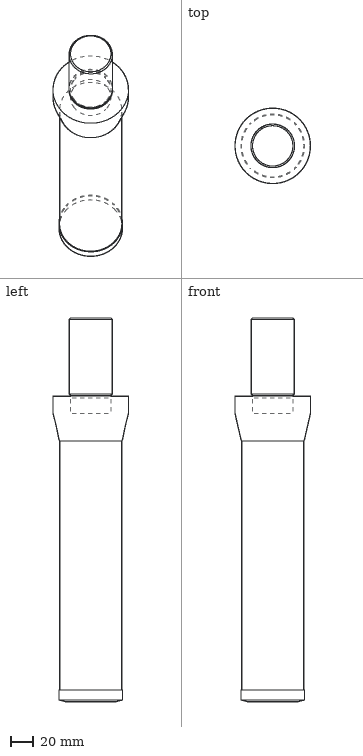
import cadquery as cq

total_height = 345.5

tube_radius = 28.0
collar_radius = 68.0 / 2
collar_top = 275.0
collar_height = 15.5
collar_bottom = collar_top - collar_height
taper_foot_radius = 28.5
taper_foot = 236.0
taper_foot_drop = 1.5
base_radius = 28.5
base_height = 10.7
base_edge_height = 1.7
base_face_radius = 22.8

rod_radius = 39.0 / 2
rod_chamfer = 1.5
neck_radius = rod_radius - rod_chamfer
neck_top = collar_top + 0.7

bore_depth = 15.5
bore_floor = collar_top - bore_depth
bore_mouth_radius = 19.7
bore_mouth_depth = bore_mouth_radius - neck_radius


def revolve_profile(points):
    """Revolve a closed (radius, height) outline about the Z axis."""
    return cq.Workplane("XZ").polyline(points).close().revolve(360, (0, 0), (0, 1))


def make_housing():
    """Tube with a base band, a tapered collar and a bore for the rod."""
    return revolve_profile([
        (0, 0),
        (base_face_radius, 0),
        (base_radius, base_edge_height),
        (base_radius, base_height),
        (tube_radius, base_height),
        (tube_radius, taper_foot - taper_foot_drop),
        (taper_foot_radius, taper_foot),
        (collar_radius, collar_bottom),
        (collar_radius, collar_top),
        (bore_mouth_radius, collar_top),
        (neck_radius, collar_top - bore_mouth_depth),
        (neck_radius, bore_floor),
        (0, bore_floor),
    ])


def make_rod():
    """Rod with a chamfered top and a narrower neck seated in the bore."""
    return revolve_profile([
        (0, bore_floor),
        (neck_radius, bore_floor),
        (neck_radius, neck_top),
        (rod_radius, neck_top + rod_chamfer),
        (rod_radius, total_height - rod_chamfer),
        (rod_radius - rod_chamfer, total_height),
        (0, total_height),
    ])


housing = make_housing()
rod = make_rod()
result = cq.Compound.makeCompound([housing.val(), rod.val()])